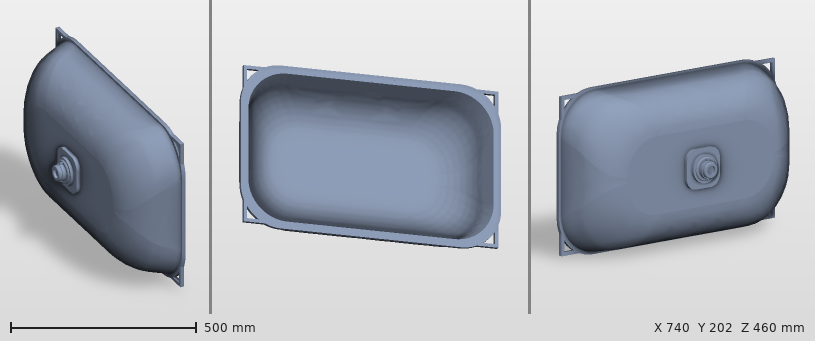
import cadquery as cq
import math


RIM_LENGTH = 740.0
RIM_HEIGHT = 460.0
RIM_DEPTH = 11.0
RIM_CORNER_RADIUS = 115.0
FLANGE_WIDTH = 7.0
BASIN_DEPTH = 155.0
DRAFT_ANGLE = 12.0
MOUTH_ROUNDNESS = 0.53
FLOOR_ROUNDNESS = 0.94
FLOOR_ROUND = 104.0
TURN_SECTIONS = 5
WALL = 17.0

FRAME_LENGTH = 724.0
FRAME_HEIGHT = 441.0
FRAME_BAR = 9.5

PLATE_SIZE = 111.0
PLATE_CORNER_RADIUS = 30.0
PLATE_DEPTH = 12.0
WASHER_DIAMETER = 80.0
WASHER_DEPTH = 9.0
NUT_DIAMETER = 66.5
NUT_DEPTH = 4.5
NUT_CHAMFER = 2.0
TAIL_DIAMETER = 49.0
TAIL_DEPTH = 21.5
TAIL_COLLAR_DEPTH = 11.0
TAIL_STEP_DIAMETER = 44.5
TAIL_CHAMFER = 2.0
TAIL_RECESS_DIAMETER = 27.0
TAIL_RECESS_DEPTH = 7.5
RIB_SPAN = 58.0
RIB_WIDTH = 4.5
RIB_DEPTH = 9.0

BOWL_LENGTH = RIM_LENGTH - 2 * FLANGE_WIDTH
BOWL_HEIGHT = RIM_HEIGHT - 2 * FLANGE_WIDTH
WASHER_START = BASIN_DEPTH + PLATE_DEPTH
NUT_START = WASHER_START + WASHER_DEPTH
TAIL_START = NUT_START + NUT_DEPTH


def plane_at(depth):
    """Workplane at a depth, facing -Y, with X to the right and Z up."""
    return cq.Workplane("XZ", origin=(0, -depth, 0))


def rounded_plate(start, depth, length, height, radius):
    """Flat plate with rounded corners."""
    return plane_at(start).rect(length, height).extrude(depth).edges("|Y").fillet(radius)


def wall_inset(depth):
    """Inward slope of the drafted wall, measured from the bowl's mouth, at a depth below the rim."""
    return (depth - RIM_DEPTH) * math.tan(math.radians(DRAFT_ANGLE))


def bowl_section(depth, inset):
    """Rounded rectangle at one depth, its corners taking up more of its height the deeper it lies."""
    length = BOWL_LENGTH - 2 * inset
    height = BOWL_HEIGHT - 2 * inset
    roundness = MOUTH_ROUNDNESS + (FLOOR_ROUNDNESS - MOUTH_ROUNDNESS) * (depth / BASIN_DEPTH) ** 2
    outline = cq.Sketch().rect(length, height).vertices().fillet(roundness * height / 2)
    return outline.moved(cq.Location(cq.Vector(0, 0, depth)))


def bowl_shape(mouth, offset):
    """Bowl with drafted walls that turn into the floor on a large arc, set in by an offset."""
    turn_radius = FLOOR_ROUND - offset
    turn_depth = BASIN_DEPTH - FLOOR_ROUND
    wall_end = turn_depth + turn_radius * math.sin(math.radians(DRAFT_ANGLE))
    turn_inset = offset + wall_inset(wall_end) + turn_radius * math.cos(math.radians(DRAFT_ANGLE))

    sections = [bowl_section(mouth, offset + wall_inset(mouth))]
    for step in range(TURN_SECTIONS + 1):
        angle = math.radians(DRAFT_ANGLE + (90 - DRAFT_ANGLE) * step / TURN_SECTIONS)
        depth = turn_depth + turn_radius * math.sin(angle)
        inset = turn_inset - turn_radius * math.cos(angle)
        sections.append(bowl_section(depth, inset))
    return plane_at(0).placeSketch(*sections).loft()


def make_frame():
    """Rectangular frame as deep as the rim."""
    return (
        plane_at(0)
        .rect(FRAME_LENGTH, FRAME_HEIGHT)
        .rect(FRAME_LENGTH - 2 * FRAME_BAR, FRAME_HEIGHT - 2 * FRAME_BAR)
        .extrude(RIM_DEPTH)
    )


def make_basin(frame):
    """Hollow bowl with a flanged rim and a groove that holds the frame."""
    rim = rounded_plate(0, RIM_DEPTH, RIM_LENGTH, RIM_HEIGHT, RIM_CORNER_RADIUS)
    outside = bowl_shape(mouth=RIM_DEPTH, offset=0)
    cavity = bowl_shape(mouth=0, offset=WALL)
    return rim.union(outside).cut(cavity).cut(frame)


def make_plate():
    """Square drain plate with rounded corners."""
    return rounded_plate(BASIN_DEPTH, PLATE_DEPTH, PLATE_SIZE, PLATE_SIZE, PLATE_CORNER_RADIUS)


def make_washer():
    """Round washer on the drain plate."""
    return plane_at(WASHER_START).circle(WASHER_DIAMETER / 2).extrude(WASHER_DEPTH)


def make_nut():
    """Thin round nut with a chamfered outer edge."""
    nut = plane_at(NUT_START).circle(NUT_DIAMETER / 2).extrude(NUT_DEPTH)
    return nut.faces("<Y").edges().chamfer(NUT_CHAMFER)


def make_tail():
    """Stepped tailpipe with two side ribs and a recess in its end."""
    collar = plane_at(TAIL_START).circle(TAIL_DIAMETER / 2).extrude(TAIL_COLLAR_DEPTH)
    ribs = plane_at(TAIL_START).rect(RIB_WIDTH, RIB_SPAN).extrude(RIB_DEPTH)
    step = plane_at(TAIL_START).circle(TAIL_STEP_DIAMETER / 2).extrude(TAIL_DEPTH)
    step = step.faces("<Y").edges().chamfer(TAIL_CHAMFER)
    recess_start = TAIL_START + TAIL_DEPTH - TAIL_RECESS_DEPTH
    recess = plane_at(recess_start).circle(TAIL_RECESS_DIAMETER / 2).extrude(TAIL_RECESS_DEPTH)
    return collar.union(ribs).union(step).cut(recess)


frame = make_frame()
basin = make_basin(frame)
plate = make_plate()
washer = make_washer()
nut = make_nut()
tail = make_tail()

result = cq.Compound.makeCompound(
    [body.solids().val() for body in (basin, frame, plate, washer, nut, tail)]
)